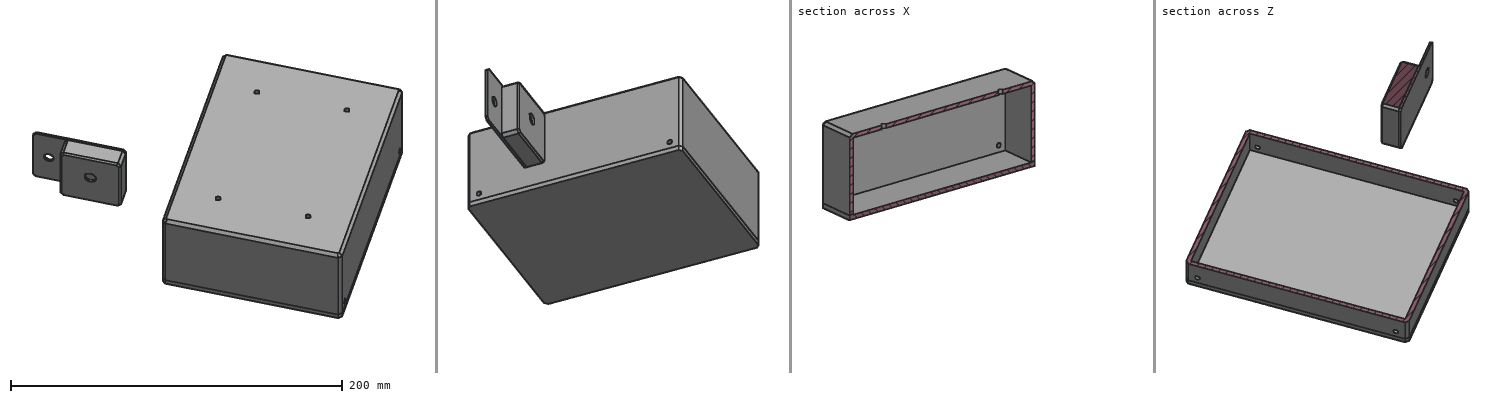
import cadquery as cq

OVERALL_X = 215.0
CORNER_CHAMFER = 2.0

BOX_X = 112.3
BOX_Y = 143.0
BOX_HEIGHT = 52.7
BOX_WALL = 3.0
LID_THICKNESS = 3.2

SCREW_HOLE_DIAMETER = 3.0
ROOF_HOLE_SPACING_X = 56.3
ROOF_HOLE_SPACING_Y = 90.0
SIDE_HOLE_SPACING = 127.0
SIDE_HOLE_ABOVE_LID = 4.5

CASE_SIDE = 38.0
CASE_DEPTH = 11.5
CASE_FRONT_CHAMFER = 1.0
RECESS_DIAMETER = 7.0
RECESS_DEPTH = 1.5
RECESS_ABOVE_CENTER = 2.4
TAB_LENGTH = 20.0
TAB_HOLE_DIAMETER = 6.0
PLATE_THICKNESS = 1.5
PLATE_BACK_Y = 11.5
CASE_BOTTOM_Z = -19.1

PLATE_X = TAB_LENGTH + CASE_SIDE
PLATE_LEFT = BOX_X / 2 - OVERALL_X
PLATE_CENTER_X = PLATE_LEFT + PLATE_X / 2
TAB_CENTER_X = PLATE_LEFT + TAB_LENGTH / 2
CASE_CENTER_X = PLATE_LEFT + TAB_LENGTH + CASE_SIDE / 2
CASE_CENTER_Z = CASE_BOTTOM_Z + CASE_SIDE / 2
PLATE_FRONT_Y = PLATE_BACK_Y - PLATE_THICKNESS
CASE_FRONT_Y = PLATE_FRONT_Y - CASE_DEPTH


def make_box():
    """Hollow box with chamfered edges, roof holes and end-wall holes."""
    shell = (
        cq.Workplane("XY", origin=(0, 0, LID_THICKNESS))
        .rect(BOX_X, BOX_Y)
        .extrude(BOX_HEIGHT)
        .edges("|Z")
        .chamfer(CORNER_CHAMFER)
        .faces(">Z")
        .chamfer(CORNER_CHAMFER)
    )
    cavity = (
        cq.Workplane("XY", origin=(0, 0, LID_THICKNESS))
        .rect(BOX_X - 2 * BOX_WALL, BOX_Y - 2 * BOX_WALL)
        .extrude(BOX_HEIGHT - BOX_WALL)
    )
    roof_holes = (
        cq.Workplane("XY", origin=(0, 0, LID_THICKNESS))
        .rect(ROOF_HOLE_SPACING_X, ROOF_HOLE_SPACING_Y, forConstruction=True)
        .vertices()
        .circle(SCREW_HOLE_DIAMETER / 2)
        .extrude(BOX_HEIGHT)
    )
    side_holes = (
        cq.Workplane("YZ", origin=(0, 0, LID_THICKNESS + SIDE_HOLE_ABOVE_LID))
        .pushPoints([(-SIDE_HOLE_SPACING / 2, 0), (SIDE_HOLE_SPACING / 2, 0)])
        .circle(SCREW_HOLE_DIAMETER / 2)
        .extrude(BOX_X / 2, both=True)
    )
    return shell.cut(cavity).cut(roof_holes).cut(side_holes)


def make_lid():
    """Flat lid with the same outline as the box."""
    return (
        cq.Workplane("XY")
        .rect(BOX_X, BOX_Y)
        .extrude(LID_THICKNESS)
        .edges("|Z")
        .chamfer(CORNER_CHAMFER)
    )


def make_sensor_case():
    """Square case on the front of the plate, with a shallow round recess."""
    case = (
        cq.Workplane("XZ", origin=(CASE_CENTER_X, PLATE_FRONT_Y, CASE_CENTER_Z))
        .rect(CASE_SIDE, CASE_SIDE)
        .extrude(CASE_DEPTH)
        .edges("|Y")
        .chamfer(CORNER_CHAMFER)
        .faces("<Y")
        .chamfer(CASE_FRONT_CHAMFER)
    )
    recess_center = (CASE_CENTER_X, CASE_FRONT_Y, CASE_CENTER_Z + RECESS_ABOVE_CENTER)
    recess = (
        cq.Workplane("XZ", origin=recess_center)
        .circle(RECESS_DIAMETER / 2)
        .extrude(-RECESS_DEPTH)
    )
    return case.cut(recess)


def make_sensor_plate():
    """Thin plate behind the case, with a screw hole in its tab."""
    plate = (
        cq.Workplane("XZ", origin=(PLATE_CENTER_X, PLATE_BACK_Y, CASE_CENTER_Z))
        .rect(PLATE_X, CASE_SIDE)
        .extrude(PLATE_THICKNESS)
        .edges("|Y")
        .chamfer(CORNER_CHAMFER)
    )
    tab_hole = (
        cq.Workplane("XZ", origin=(TAB_CENTER_X, PLATE_BACK_Y, CASE_CENTER_Z))
        .circle(TAB_HOLE_DIAMETER / 2)
        .extrude(PLATE_THICKNESS)
    )
    return plate.cut(tab_hole)


box = make_box().solids()
lid = make_lid().solids()
sensor_case = make_sensor_case().solids()
sensor_plate = make_sensor_plate().solids()

result = cq.Compound.makeCompound(
    [box.val(), lid.val(), sensor_case.val(), sensor_plate.val()]
)